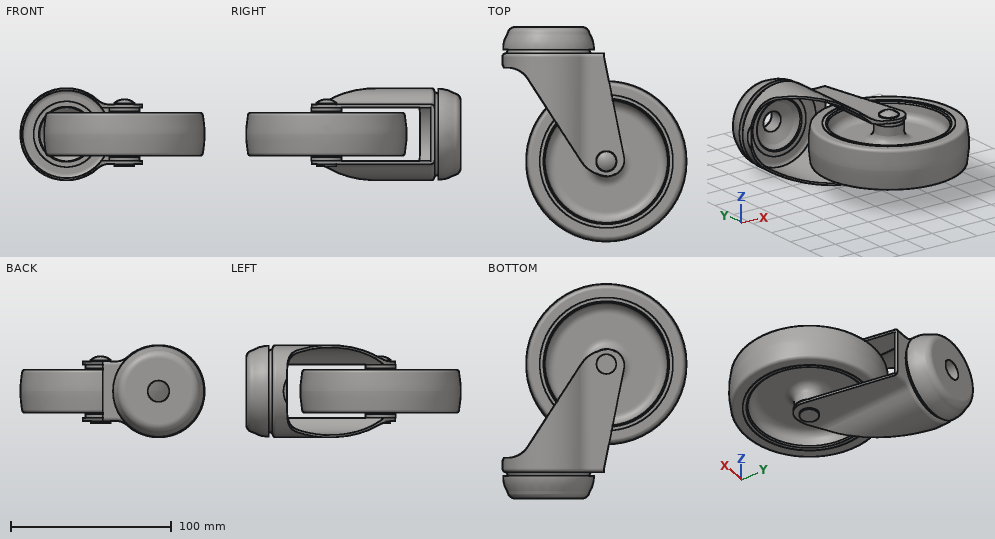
import cadquery as cq
import math

SWIVEL_X = -36.0

AXLE_R = 6.2
AXLE_BOTTOM_Z = -19.8
RIVET_R = 6.4
RIVET_SEAT_Z = 19.3
RIVET_TOP_Z = 21.8

TREAD_R = 50.0
TREAD_EDGE_R = 49.0
TREAD_MID = (49.8, 5.8)
TREAD_FLANK_R = 46.8
TREAD_ROUND = 1.9
WHEEL_HALF = 13.5
TREAD_INNER_R = 41.5
RIM_STEP = 0.3
RIM_EDGE_R = 39.2
RIM_MOUTH_R = 38.3
RIM_CHAMFER = 1.0
RIM_WALL_R = 37.5
WEB_OUTER_R = 31.6
WEB_INNER_R = 15.9
WEB_HALF = 2.8
HUB_FILLET = 6.5
RIM_FILLET = 6.0
HUB_R = 9.5
HUB_HALF = 14.5

FORK_R = 28.8
RING_WALL = 1.5
RING_INNER_R = FORK_R - RING_WALL
LEG_WALL = 2.0
LEG_OUTER_Z = 18.6
LEG_INNER_Z = LEG_OUTER_Z - LEG_WALL
BLEND_END_X = -9.6
FORK_BACK_X = -1.3
FORK_TOP_Y = 67.3
BEND_R = 2.3
PLATE_BOTTOM_Y = FORK_TOP_Y - BEND_R
FLOOR_Y = 66.2
FLOOR_R = 24.5
FORK_HOLE_R = 20.5

COLLAR_BOTTOM_Y = 58.2
NOSE_CHAMFER_X = 1.1
NOSE_CHAMFER_Y = 2.3
FRONT_CORNER = (-53.4, COLLAR_BOTTOM_Y)
LOWER_FRONT_CORNER = (-10.8, -7.5)
LOWER_BACK_CORNER = (13.8, -11.2)
FRONT_CORNER_R = 14.7
LOWER_FRONT_R = 20.1
LOWER_BACK_R = 10.0

HEAD_TOP_Y = 83.8
HEAD_BOTTOM_Y = 69.6
HEAD_R = 28.4
HEAD_RIM_Y = 70.5
HEAD_BAND_LOW = (25.8, 79.1)
HEAD_BAND_TOP = (25.2, 81.0)
HEAD_DOME_MID = (27.7, 75.0)
HEAD_ROUND_MID = (23.7, 82.7)
HEAD_TOP_R = 20.7
NECK_TOP_R = 25.3
NECK_BOTTOM_R = 26.4
BORE_R = 6.7
CUP_POINTS = [(17.3, FLOOR_Y), (16.7, 67.3), (13.9, 70.0), (BORE_R, 73.9)]

Y_AXIS = ((0, 0, 0), (0, 1, 0))
FAR = 80.3


def arc_from_flat(flat_end, radius, run):
    """Middle and end of an arc that leaves a flat at flat_end and rises while it moves sideways by run."""
    x, y = flat_end
    sweep = math.asin(abs(run) / radius)
    side = math.copysign(radius, run)

    def at(angle):
        return (x + side * math.sin(angle), y + radius * (1 - math.cos(angle)))

    return at(sweep / 2), at(sweep)



def fork_outside():
    """Ring about the swivel axis that runs through reverse bends into two straight legs, extruded along Y."""
    run = BLEND_END_X - SWIVEL_X
    blend_r = (run**2 + LEG_OUTER_Z**2 - FORK_R**2) / (2 * (FORK_R - LEG_OUTER_Z))
    blend_z = LEG_OUTER_Z + blend_r
    turn = math.atan2(run, blend_z)
    start = (SWIVEL_X + FORK_R * math.sin(turn), FORK_R * math.cos(turn))
    middle = (BLEND_END_X - blend_r * math.sin(turn / 2), blend_z - blend_r * math.cos(turn / 2))
    return (
        cq.Workplane("XZ", origin=(0, FORK_TOP_Y, 0))
        .moveTo(FAR, -LEG_OUTER_Z)
        .lineTo(BLEND_END_X, -LEG_OUTER_Z)
        .threePointArc((middle[0], -middle[1]), (start[0], -start[1]))
        .threePointArc((SWIVEL_X - FORK_R, 0), start)
        .threePointArc(middle, (BLEND_END_X, LEG_OUTER_Z))
        .lineTo(FAR, LEG_OUTER_Z)
        .close()
        .extrude(FORK_TOP_Y + FAR)
        .faces(">Y")
        .edges()
        .fillet(BEND_R)
    )


def fork_side_profile():
    """Solid that bounds the fork as seen along Z."""
    nose_x = SWIVEL_X - FORK_R
    profile = (
        cq.Workplane("XY", origin=(0, 0, -FAR / 2))
        .moveTo(nose_x, FORK_TOP_Y)
        .lineTo(nose_x, COLLAR_BOTTOM_Y + NOSE_CHAMFER_Y)
        .lineTo(nose_x + NOSE_CHAMFER_X, COLLAR_BOTTOM_Y)
        .lineTo(*FRONT_CORNER)
        .lineTo(*LOWER_FRONT_CORNER)
        .lineTo(*LOWER_BACK_CORNER)
        .lineTo(FORK_BACK_X, FORK_TOP_Y - BEND_R)
        .lineTo(FORK_BACK_X, FORK_TOP_Y)
        .close()
        .extrude(FAR)
    )
    corners = [
        (FRONT_CORNER, FRONT_CORNER_R),
        (LOWER_FRONT_CORNER, LOWER_FRONT_R),
        (LOWER_BACK_CORNER, LOWER_BACK_R),
    ]
    for (x, y), radius in corners:
        profile = profile.edges(cq.selectors.NearestToPointSelector((x, y, 0))).fillet(radius)
    return profile


def floor_recess():
    """Round recess with a curved edge in the underside of the top plate."""
    depth = FLOOR_Y - PLATE_BOTTOM_Y
    run = RING_INNER_R - FLOOR_R
    edge_r = (run**2 + depth**2) / (2 * depth)
    middle, _ = arc_from_flat((FLOOR_R, 0), edge_r, run)
    return (
        cq.Workplane("XY")
        .moveTo(0, PLATE_BOTTOM_Y)
        .lineTo(RING_INNER_R, PLATE_BOTTOM_Y)
        .threePointArc((middle[0], FLOOR_Y - middle[1]), (FLOOR_R, FLOOR_Y))
        .lineTo(0, FLOOR_Y)
        .close()
        .revolve(360, *Y_AXIS)
        .translate((SWIVEL_X, 0, 0))
    )


def make_fork():
    ring_space = cq.Workplane("XZ", origin=(SWIVEL_X, PLATE_BOTTOM_Y, 0)).circle(RING_INNER_R).extrude(FAR * 2)
    leg_space = (
        cq.Workplane("XZ", origin=(SWIVEL_X, PLATE_BOTTOM_Y, 0))
        .center(FAR / 2, 0)
        .rect(FAR, LEG_INNER_Z * 2)
        .extrude(FAR * 2)
    )
    head_hole = (
        cq.Workplane("XZ", origin=(SWIVEL_X, FORK_TOP_Y, 0))
        .circle(FORK_HOLE_R)
        .extrude(FORK_TOP_Y - PLATE_BOTTOM_Y)
    )
    axle_holes = cq.Workplane("XY").circle(AXLE_R).extrude(FAR, both=True)
    sheet = fork_outside().cut(ring_space).cut(leg_space).intersect(fork_side_profile())
    return sheet.cut(floor_recess()).cut(head_hole).cut(axle_holes)



def make_wheel():
    hub_middle, hub_end = arc_from_flat((WEB_INNER_R, WEB_HALF), HUB_FILLET, HUB_R - WEB_INNER_R)
    rim_middle, rim_end = arc_from_flat((WEB_OUTER_R, WEB_HALF), RIM_FILLET, RIM_WALL_R - WEB_OUTER_R)
    rim_face = WHEEL_HALF - RIM_STEP
    half = (
        cq.Workplane("XZ")
        .moveTo(AXLE_R, 0)
        .lineTo(AXLE_R, HUB_HALF)
        .lineTo(HUB_R, HUB_HALF)
        .lineTo(*hub_end)
        .threePointArc(hub_middle, (WEB_INNER_R, WEB_HALF))
        .lineTo(WEB_OUTER_R, WEB_HALF)
        .threePointArc(rim_middle, rim_end)
        .lineTo(RIM_MOUTH_R, rim_face - RIM_CHAMFER)
        .lineTo(RIM_EDGE_R, rim_face)
        .lineTo(TREAD_INNER_R, rim_face)
        .lineTo(TREAD_INNER_R, WHEEL_HALF)
        .lineTo(TREAD_FLANK_R, WHEEL_HALF)
        .tangentArcPoint((TREAD_EDGE_R, WHEEL_HALF - TREAD_ROUND), relative=False)
        .threePointArc(TREAD_MID, (TREAD_R, 0))
        .close()
        .revolve(360, *Y_AXIS)
    )
    return half.union(half.mirror("XY"))



def make_axle():
    """Pin with a collar between the hub and each fork leg, and a domed rivet head."""
    dome_h = RIVET_TOP_Z - RIVET_SEAT_Z
    dome_r = (RIVET_R**2 + dome_h**2) / (2 * dome_h)
    dome_sweep = math.asin(RIVET_R / dome_r)
    dome_middle = (dome_r * math.sin(dome_sweep / 2), RIVET_TOP_Z - dome_r * (1 - math.cos(dome_sweep / 2)))
    return (
        cq.Workplane("XZ")
        .moveTo(0, AXLE_BOTTOM_Z)
        .lineTo(AXLE_R, AXLE_BOTTOM_Z)
        .lineTo(AXLE_R, -LEG_INNER_Z)
        .lineTo(HUB_R, -LEG_INNER_Z)
        .lineTo(HUB_R, -HUB_HALF)
        .lineTo(AXLE_R, -HUB_HALF)
        .lineTo(AXLE_R, HUB_HALF)
        .lineTo(HUB_R, HUB_HALF)
        .lineTo(HUB_R, LEG_INNER_Z)
        .lineTo(AXLE_R, LEG_INNER_Z)
        .lineTo(AXLE_R, RIVET_SEAT_Z)
        .lineTo(RIVET_R, RIVET_SEAT_Z)
        .threePointArc(dome_middle, (0, RIVET_TOP_Z))
        .close()
        .revolve(360, *Y_AXIS)
    )



def make_head():
    """Domed cap with a bolt bore, a flared neck on the fork and a sleeve through the fork's top hole."""
    profile = (
        cq.Workplane("XY")
        .moveTo(BORE_R, HEAD_TOP_Y)
        .lineTo(HEAD_TOP_R, HEAD_TOP_Y)
        .threePointArc(HEAD_ROUND_MID, HEAD_BAND_TOP)
        .lineTo(*HEAD_BAND_LOW)
        .threePointArc(HEAD_DOME_MID, (HEAD_R, HEAD_RIM_Y))
        .lineTo(HEAD_R, HEAD_BOTTOM_Y)
        .lineTo(NECK_TOP_R, HEAD_BOTTOM_Y)
        .lineTo(NECK_BOTTOM_R, FORK_TOP_Y)
        .lineTo(FORK_HOLE_R, FORK_TOP_Y)
        .lineTo(FORK_HOLE_R, FLOOR_Y)
    )
    for point in CUP_POINTS:
        profile = profile.lineTo(*point)
    return profile.close().revolve(360, *Y_AXIS).translate((SWIVEL_X, 0, 0))


fork = make_fork()
wheel = make_wheel()
axle = make_axle()
head = make_head()

result = cq.Compound.makeCompound([fork.val(), wheel.val(), axle.val(), head.val()])